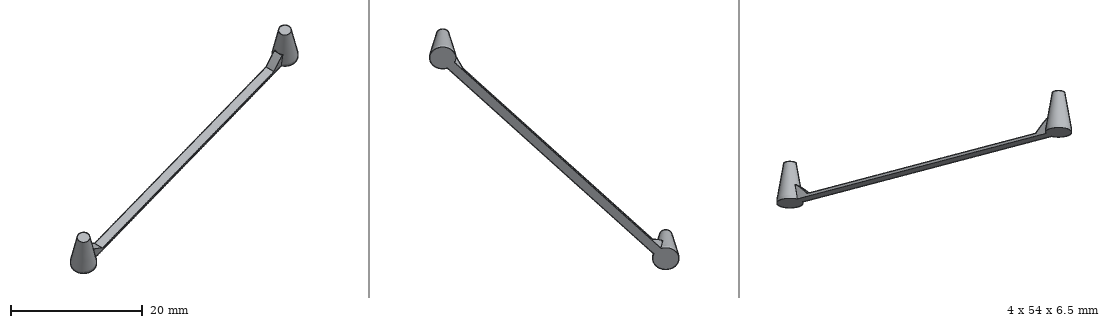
import cadquery as cq
import math

total_length = 54.0
total_height = 6.5
base_radius = 2.0
tip_radius = 0.95
base_height = 0.5
post_offset = total_length / 2 - base_radius

bar_width = 1.5
bar_thickness = base_height
gusset_toe = 21.3
gusset_top = 2.45
gusset_bulge = 0.065

taper_fraction = (gusset_top - base_height) / (total_height - base_height)
post_radius_at_gusset = base_radius - taper_fraction * (base_radius - tip_radius)
gusset_head = post_offset - post_radius_at_gusset


def make_post():
    """Tapered round post on a short cylindrical base, centred on Z."""
    return (
        cq.Workplane("XZ")
        .lineTo(base_radius, 0)
        .lineTo(base_radius, base_height)
        .lineTo(tip_radius, total_height)
        .lineTo(0, total_height)
        .close()
        .revolve(360, (0, 0, 0), (0, 1, 0))
    )


def make_gusset():
    """Slightly convex gusset at the +Y post, running into the post's axis."""
    run = gusset_head - gusset_toe
    rise = gusset_top - bar_thickness
    slope_length = math.hypot(run, rise)
    bow_y = gusset_toe + run / 2 - gusset_bulge * rise / slope_length
    bow_z = bar_thickness + rise / 2 + gusset_bulge * run / slope_length
    return (
        cq.Workplane("YZ")
        .moveTo(gusset_toe, 0)
        .lineTo(gusset_toe, bar_thickness)
        .threePointArc((bow_y, bow_z), (gusset_head, gusset_top))
        .lineTo(post_offset, gusset_top)
        .lineTo(post_offset, 0)
        .close()
        .extrude(bar_width / 2, both=True)
    )


bar = cq.Workplane("XY").box(bar_width, 2 * post_offset, bar_thickness, centered=(True, True, False))
post_end = make_post().translate((0, post_offset, 0)).union(make_gusset())

result = bar.union(post_end).union(post_end.mirror("XZ"))